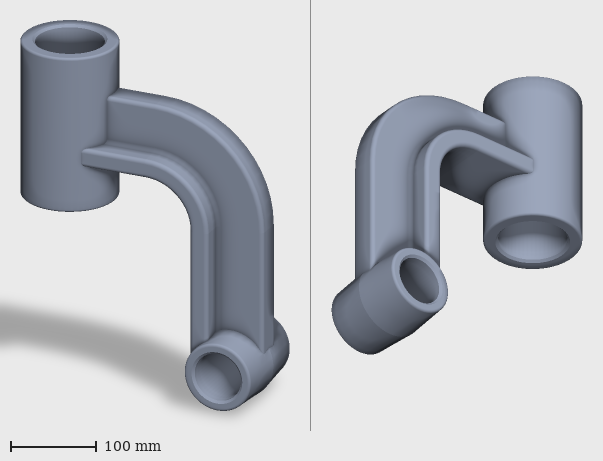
import cadquery as cq
import math

sleeve_radius = 58.0
sleeve_bore_radius = 41.0
sleeve_height = 196.0
sleeve_edge_round = 3.0
sleeve_bore_chamfer = 3.0

boss_x = 214.0
boss_length = 2 * sleeve_radius
boss_mid_radius = 46.2
boss_end_radius = 42.0
boss_bore_radius = 29.5
boss_edge_round = 3.5
boss_bore_chamfer = 3.0
overall_height = 416.5

arm_depth = 81.2
web_thickness = 35.0
flange_width = 92.0
flange_thickness = 23.0
arm_round = 5.0
bend_radius = 98.0
tolerance = 0.005

sleeve_top = overall_height - boss_mid_radius
sleeve_bottom = sleeve_top - sleeve_height
arm_z = sleeve_top - sleeve_height / 2
bend_x = boss_x - bend_radius
bend_z = arm_z - bend_radius
inner_radius = bend_radius - arm_depth / 2
outer_radius = bend_radius + arm_depth / 2


def bent_bar(near_radius, far_radius, width):
    """Bar from the sleeve axis, round the bend and down to the boss axis."""
    diagonal = math.sqrt(0.5)
    return (
        cq.Workplane("XZ")
        .moveTo(0, bend_z + far_radius)
        .lineTo(bend_x, bend_z + far_radius)
        .threePointArc(
            (bend_x + far_radius * diagonal, bend_z + far_radius * diagonal),
            (bend_x + far_radius, bend_z),
        )
        .lineTo(bend_x + far_radius, 0)
        .lineTo(bend_x + near_radius, 0)
        .lineTo(bend_x + near_radius, bend_z)
        .threePointArc(
            (bend_x + near_radius * diagonal, bend_z + near_radius * diagonal),
            (bend_x, bend_z + near_radius),
        )
        .lineTo(0, bend_z + near_radius)
        .close()
        .extrude(width / 2, both=True)
    )


def make_arm():
    """T-section arm with its long edges and inside corners rounded."""
    web = bent_bar(inner_radius, outer_radius, web_thickness)
    flange = bent_bar(inner_radius, inner_radius + flange_thickness, flange_width)
    arm = web.union(flange)
    end_edges = arm.faces("<X or <Z").edges().vals()
    cross_edges = arm.edges("|Y").vals()
    skipped = end_edges + cross_edges
    long_edges = [
        edge for edge in arm.edges().vals()
        if not any(edge.isSame(other) for other in skipped)
    ]
    long_edges = [edge for edge in long_edges if not is_bend_seam(edge)]
    return arm.newObject(long_edges).fillet(arm_round)


def is_bend_seam(edge):
    """True for a straight line across the side of the arm at either end of the bend."""
    center = edge.Center()
    at_start = abs(center.x - bend_x) < tolerance
    at_finish = abs(center.z - bend_z) < tolerance
    return edge.geomType() == "LINE" and (at_start or at_finish)


def make_sleeve():
    return (
        cq.Workplane("XY", origin=(0, 0, sleeve_bottom))
        .circle(sleeve_radius)
        .extrude(sleeve_height)
        .edges("%CIRCLE")
        .fillet(sleeve_edge_round)
    )


def make_boss():
    """Double-tapered boss, widest halfway along Y."""
    half = boss_length / 2
    return (
        cq.Workplane("XY", origin=(boss_x, 0, 0))
        .polyline([
            (0, -half),
            (boss_end_radius, -half),
            (boss_mid_radius, 0),
            (boss_end_radius, half),
            (0, half),
        ])
        .close()
        .revolve(360, (0, 0, 0), (0, 1, 0))
        .faces("<Y or >Y")
        .edges()
        .fillet(boss_edge_round)
    )


def make_bore(plane, radius, length, chamfer):
    """Solid of a through bore whose mouths flare at both ends, centred on the plane."""
    half = length / 2
    return (
        plane.circle(radius).extrude(half, both=True)
        .union(plane.workplane(offset=half - chamfer).circle(radius)
               .workplane(offset=chamfer).circle(radius + chamfer).loft())
        .union(plane.workplane(offset=chamfer - half).circle(radius)
               .workplane(offset=-chamfer).circle(radius + chamfer).loft())
    )


sleeve_bore = make_bore(
    cq.Workplane("XY", origin=(0, 0, arm_z)), sleeve_bore_radius, sleeve_height, sleeve_bore_chamfer
)
boss_bore = make_bore(
    cq.Workplane("XZ", origin=(boss_x, 0, 0)), boss_bore_radius, boss_length, boss_bore_chamfer
)

result = make_arm().union(make_sleeve()).union(make_boss()).cut(sleeve_bore).cut(boss_bore)